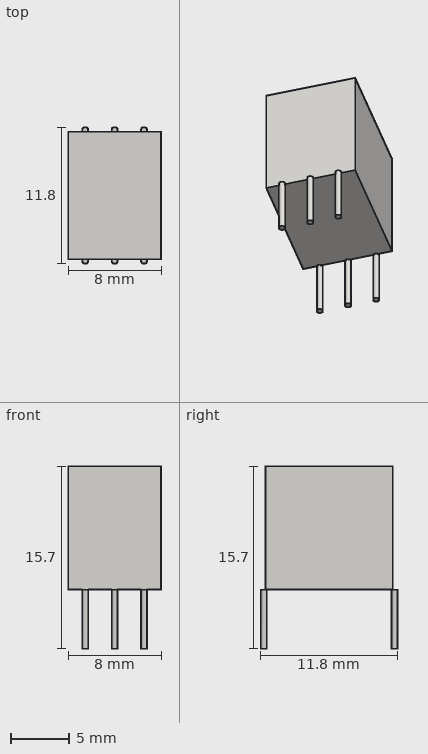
import cadquery as cq

housing_width = 8.0
housing_depth = 11.0
overall_height = 15.73
pin_length = 5.1
housing_height = overall_height - pin_length

pin_diameter = 0.53
pin_pitch = 2.53
pins_per_row = 3
overall_depth = 11.78
row_spacing = overall_depth - pin_diameter


def make_housing():
    """Plain rectangular block standing on z = 0."""
    return cq.Workplane("XY").box(
        housing_width, housing_depth, housing_height, centered=(True, True, False)
    )


def make_pin(x, y):
    """Round pin whose top end touches the underside of the housing."""
    return cq.Workplane("XY").center(x, y).circle(pin_diameter / 2).extrude(-pin_length)


housing = make_housing()

pins = []
for row_y in (-row_spacing / 2, row_spacing / 2):
    for index in range(pins_per_row):
        pin_x = (index - (pins_per_row - 1) / 2) * pin_pitch
        pins.append(make_pin(pin_x, row_y))

result = cq.Compound.makeCompound([housing.val(), *[pin.val() for pin in pins]])